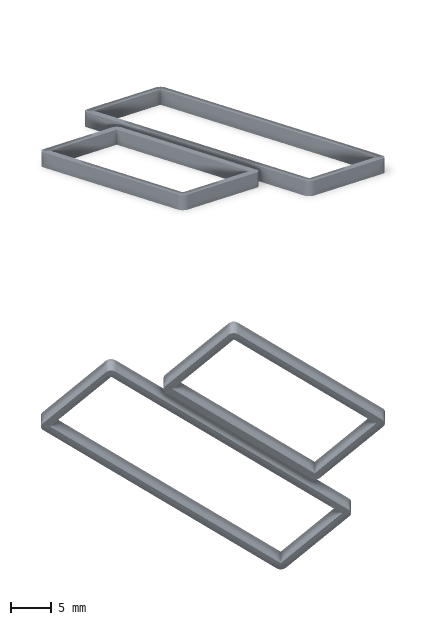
import cadquery as cq

frame_depth = 13.8
frame_height = 2.0
wall = 1.05
corner_radius = 0.85

long_frame_length = 39.8
short_frame_length = 25.3
overall_depth = 28.8

frame_center_offset = (overall_depth - frame_depth) / 2


def rectangular_frame(length, center_y):
    """Flat frame with rounded outer corners and a sharp-cornered window."""
    outer = (
        cq.Workplane("XY")
        .box(length, frame_depth, frame_height, centered=(True, True, False))
        .edges("|Z")
        .fillet(corner_radius)
    )
    window = cq.Workplane("XY").box(
        length - 2 * wall,
        frame_depth - 2 * wall,
        frame_height,
        centered=(True, True, False),
    )
    return outer.cut(window).translate((0, center_y, 0))


long_frame = rectangular_frame(long_frame_length, frame_center_offset)
short_frame = rectangular_frame(short_frame_length, -frame_center_offset)

result = cq.Compound.makeCompound([long_frame.val(), short_frame.val()])